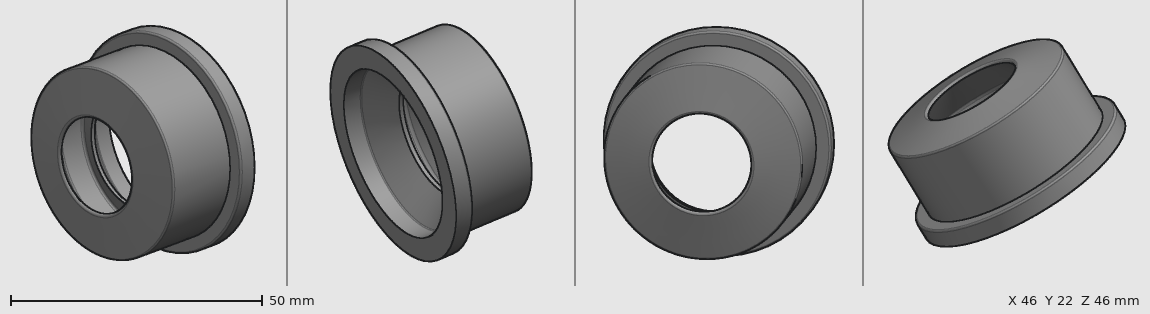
import cadquery as cq
import math

total_length = 22.0
flange_radius = 46.0 / 2
flange_thickness = 4.0
body_radius = 40.1 / 2
mouth_radius = 10.63
throat_radius = 20.0 / 2
nose_depth = 2.0
edge_fillet = 0.4

cavity_radius = 36.0 / 2
front_cone_end = 8.1
front_cone_fillet = 1.0
web_hole_radius = 25.0 / 2
web_rim_front = 11.45
web_rim_length = 1.0
web_front_angle = 31.0
web_back_angle = 45.0

flange_front = total_length - flange_thickness
mouth_round = mouth_radius - throat_radius
web_height = cavity_radius - web_hole_radius
web_rim_back = web_rim_front + web_rim_length
web_front_root = web_rim_front + web_height * math.tan(math.radians(web_front_angle))
web_back_root = web_rim_back + web_height * math.tan(math.radians(web_back_angle))


def revolve_profile(profile):
    """Revolve a closed XY profile a full turn about the Y axis."""
    return profile.close().revolve(360, (0, 0, 0), (0, 1, 0))


def fillet_circle(solid, radius, y, fillet_radius):
    """Round the circular edge of the given radius, the widest one in the plane at y."""
    tolerance = 0.005
    reach = radius + tolerance
    slab = cq.selectors.BoxSelector(
        (-reach, y - tolerance, -reach), (reach, y + tolerance, reach), boundingbox=True
    )
    widest = cq.selectors.RadiusNthSelector(-1)
    return solid.edges(slab).edges(widest).fillet(fillet_radius)


def make_outer_body():
    """Solid flanged plug with a shallow conical nose."""
    body = revolve_profile(
        cq.Workplane("XY")
        .moveTo(0, 0)
        .lineTo(mouth_radius, 0)
        .lineTo(body_radius, nose_depth)
        .lineTo(body_radius, flange_front)
        .lineTo(flange_radius, flange_front)
        .lineTo(flange_radius, total_length)
        .lineTo(0, total_length)
    )
    body = fillet_circle(body, body_radius, nose_depth, edge_fillet)
    return fillet_circle(body, flange_radius, flange_front, edge_fillet)


def make_cavity():
    """Through passage with a rounded mouth and two chambers split by the web."""
    arc_offset = mouth_round * (1 - math.sqrt(0.5))
    cavity = revolve_profile(
        cq.Workplane("XY")
        .moveTo(0, 0)
        .lineTo(mouth_radius, 0)
        .threePointArc((throat_radius + arc_offset, arc_offset), (throat_radius, mouth_round))
        .lineTo(cavity_radius, front_cone_end)
        .lineTo(cavity_radius, web_front_root)
        .lineTo(web_hole_radius, web_rim_front)
        .lineTo(web_hole_radius, web_rim_back)
        .lineTo(cavity_radius, web_back_root)
        .lineTo(cavity_radius, total_length)
        .lineTo(0, total_length)
    )
    cavity = fillet_circle(cavity, cavity_radius, front_cone_end, front_cone_fillet)
    for y in (web_front_root, web_back_root):
        cavity = fillet_circle(cavity, cavity_radius, y, edge_fillet)
    return cavity


result = make_outer_body().cut(make_cavity())